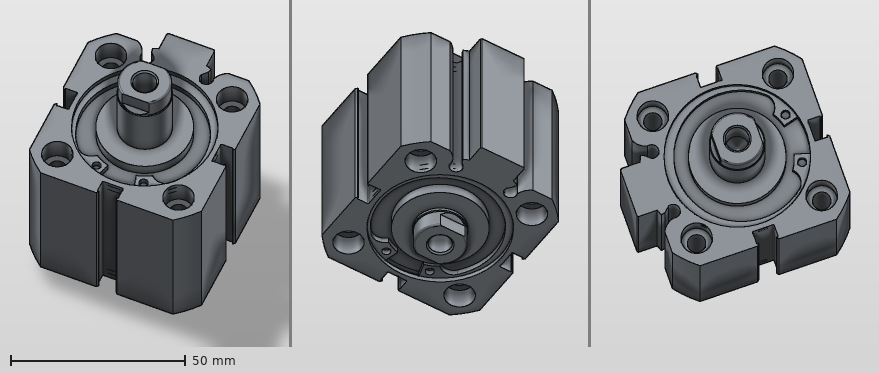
import cadquery as cq
import math


body_width = 54.0
body_height = 46.0
corner_circle_radius = 34.05
half_width = body_width / 2
corner_flat = math.sqrt(corner_circle_radius**2 - half_width**2)

port_top = 33.0
port_half_width = 7.5
port_chamfer = 0.4
port_tooth_tip = (9.2, 26.25)
port_tooth_root = (8.9, 25.1)
channel_x = 9.3
channel_y = 22.7
channel_radius = 2.0
channel_mouth_angle = 20.0
shoulder_start = (14.25, half_width)
shoulder_middle = (12.4, 25.6)

slot_width = 6.5
slot_opening = 5.5
slot_depth = 4.5
slot_lip = 0.75
slot_lip_chamfer = 0.5
slot_fillet = 0.3
slot_angles = (0, 180, 270)

mount_pitch = 38.0
mount_hole_diameter = 5.25
mount_bore_diameter = 9.0
mount_bore_depth = 7.0

bore_radius = 21.0
ring_depth = 1.6
ring_thickness = 1.9
ring_radius = 22.3
ring_floor_depth = ring_depth + ring_thickness

ring_inner_radius = 19.35
ring_inner_offset = 1.2
lug_inner_radius = 16.35
lug_gap_angle = 15.7
lug_peak_angle = 32.4
lug_hole_angle = 23.3
lug_hole_radius = 18.7
lug_hole_diameter = 2.55
dip_radius = 3.75
dip_angle = 49.3
ring_turn = -0.5

cover_boss_radius = 14.0
cover_length = body_height / 2

rod_length = 75.0
rod_bottom = -7.0
rod_diameter = 16.0
neck_diameter = 15.45
rod_radius = rod_diameter / 2
neck_radius = neck_diameter / 2
neck_length = 6.0
neck_flat = 13.0
neck_flat_length = 4.5
shoulder_chamfer = rod_radius - neck_radius
rod_end_fillet = 0.45
thread_radius = 3.45
thread_depth = 12.0
thread_chamfer = 0.5
drill_tip_angle = 118.0


def from_minus_y(radius, angle, side, offset=0.0):
    """Point at an angle from -Y; side is +1 toward +X and -1 toward -X."""
    turn = math.radians(angle)
    return (side * radius * math.sin(turn), -radius * math.cos(turn) - offset)


def at_far_end(body):
    """Copy of a top-end body, mirrored to the bottom end of the housing."""
    return body.mirror("XY", (0, 0, body_height / 2))


def housing_blank():
    corner_middle = corner_circle_radius / math.sqrt(2)
    mouth = math.radians(channel_mouth_angle)
    mouth_dx = channel_radius * math.cos(mouth)
    mouth_y = channel_y + channel_radius * math.sin(mouth)
    half_outline = (
        cq.Workplane("XY")
        .moveTo(0, -half_width)
        .lineTo(corner_flat, -half_width)
        .threePointArc((corner_middle, -corner_middle), (half_width, -corner_flat))
        .lineTo(half_width, corner_flat)
        .threePointArc((corner_middle, corner_middle), (corner_flat, half_width))
        .lineTo(*shoulder_start)
        .threePointArc(shoulder_middle, (channel_x + mouth_dx, mouth_y))
        .threePointArc((channel_x, channel_y - channel_radius), (channel_x - mouth_dx, mouth_y))
        .lineTo(*port_tooth_root)
        .lineTo(*port_tooth_tip)
        .lineTo(port_half_width, half_width)
        .lineTo(port_half_width, port_top - port_chamfer)
        .lineTo(port_half_width - port_chamfer, port_top)
        .lineTo(0, port_top)
    )
    return half_outline.mirrorY().extrude(body_height)


def sensor_slot():
    """Undercut slot in the +X side, running the full height."""
    floor = half_width - slot_depth
    lip = half_width - slot_lip
    groove = (
        cq.Workplane("XY")
        .center((floor + lip) / 2, 0)
        .rect(lip - floor, slot_width)
        .extrude(body_height)
        .edges("|Z and <X")
        .fillet(slot_fillet)
    )
    opening = cq.Workplane("XY").center(half_width - slot_depth / 2, 0)
    opening = opening.rect(slot_depth, slot_opening).extrude(body_height)
    half_opening = slot_opening / 2
    flare = (
        cq.Workplane("XY")
        .moveTo(half_width - slot_lip_chamfer, half_opening)
        .lineTo(half_width, half_opening + slot_lip_chamfer)
        .lineTo(half_width, -half_opening - slot_lip_chamfer)
        .lineTo(half_width - slot_lip_chamfer, -half_opening)
        .close()
        .extrude(body_height)
    )
    return groove.union(opening).union(flare)


def make_housing():
    housing = housing_blank()
    for angle in slot_angles:
        housing = housing.cut(sensor_slot().rotate((0, 0, 0), (0, 0, 1), angle))

    mounts = cq.Workplane("XY").rect(mount_pitch, mount_pitch, forConstruction=True).vertices()
    housing = housing.cut(mounts.circle(mount_hole_diameter / 2).extrude(body_height))
    counterbores = mounts.circle(mount_bore_diameter / 2).extrude(mount_bore_depth)
    housing = housing.cut(counterbores).cut(at_far_end(counterbores))

    housing = housing.cut(cq.Workplane("XY").circle(bore_radius).extrude(body_height))
    groove = cq.Workplane("XY", origin=(0, 0, body_height - ring_floor_depth))
    groove = groove.circle(ring_radius).extrude(ring_thickness)
    return housing.cut(groove).cut(at_far_end(groove))


def make_cover():
    """Top cover: a plug under the ring, with a central boss flush with the housing."""
    plug_length = cover_length - ring_floor_depth
    return (
        cq.Workplane("XY", origin=(0, 0, body_height - cover_length))
        .circle(bore_radius)
        .extrude(plug_length)
        .faces(">Z")
        .workplane()
        .circle(cover_boss_radius)
        .extrude(ring_floor_depth)
        .cut(cq.Workplane("XY").circle(rod_radius).extrude(body_height))
    )


def make_ring():
    """Top retaining ring, with its gap and lugs toward -Y."""
    lug_middle_angle = (lug_gap_angle + lug_peak_angle) / 2

    def lug_point(angle, side):
        return from_minus_y(lug_inner_radius, angle, side)

    def dip_start(side):
        return from_minus_y(ring_inner_radius, dip_angle, side, ring_inner_offset)

    def dip_bottom(side):
        center_radius = ring_inner_radius - dip_radius
        x, y = from_minus_y(center_radius, dip_angle, side, ring_inner_offset)
        return (x, y - dip_radius)

    ring = (
        cq.Workplane("XY", origin=(0, 0, body_height - ring_floor_depth))
        .moveTo(*from_minus_y(ring_radius, lug_gap_angle, -1))
        .lineTo(*lug_point(lug_gap_angle, -1))
        .threePointArc(lug_point(lug_middle_angle, -1), lug_point(lug_peak_angle, -1))
        .threePointArc(dip_bottom(-1), dip_start(-1))
        .threePointArc((0, ring_inner_radius - ring_inner_offset), dip_start(1))
        .threePointArc(dip_bottom(1), lug_point(lug_peak_angle, 1))
        .threePointArc(lug_point(lug_middle_angle, 1), lug_point(lug_gap_angle, 1))
        .lineTo(*from_minus_y(ring_radius, lug_gap_angle, 1))
        .threePointArc((0, ring_radius), from_minus_y(ring_radius, lug_gap_angle, -1))
        .close()
        .extrude(ring_thickness)
    )
    lug_holes = [from_minus_y(lug_hole_radius, lug_hole_angle, side) for side in (-1, 1)]
    ring = ring.faces(">Z").workplane(origin=(0, 0, 0)).pushPoints(lug_holes).hole(lug_hole_diameter)
    return ring.rotate((0, 0, 0), (0, 0, 1), ring_turn)


def flat_cutter(rod_top):
    """Material removed on the +Y side of the top neck: a flat with a 45 degree run-out."""
    flat_y = neck_flat / 2
    runout = rod_radius - flat_y
    flat_bottom = rod_top - neck_flat_length
    return (
        cq.Workplane("YZ")
        .moveTo(flat_y, rod_top)
        .lineTo(flat_y, flat_bottom)
        .lineTo(flat_y + runout, flat_bottom - runout)
        .lineTo(flat_y + runout, rod_top)
        .close()
        .extrude(rod_radius, both=True)
    )


def thread_hole(rod_top):
    """Drilled hole in the top end, with a chamfered mouth and a conical bottom."""
    cone_height = thread_radius / math.tan(math.radians(drill_tip_angle / 2))
    return (
        cq.Workplane("XZ")
        .moveTo(0, rod_top)
        .lineTo(thread_radius + thread_chamfer, rod_top)
        .lineTo(thread_radius, rod_top - thread_chamfer)
        .lineTo(thread_radius, rod_top - thread_depth)
        .lineTo(0, rod_top - thread_depth - cone_height)
        .close()
        .revolve(360, (0, 0, 0), (0, 1, 0))
    )


def make_rod():
    """Rod with the same necked, flatted and threaded end at top and bottom."""
    middle = rod_bottom + rod_length / 2
    top = rod_bottom + rod_length
    neck_bottom = top - neck_length
    upper_half = (
        cq.Workplane("XZ")
        .moveTo(0, middle)
        .lineTo(rod_radius, middle)
        .lineTo(rod_radius, neck_bottom)
        .lineTo(neck_radius, neck_bottom + shoulder_chamfer)
        .lineTo(neck_radius, top - rod_end_fillet)
        .tangentArcPoint((neck_radius - rod_end_fillet, top), relative=False)
        .lineTo(0, top)
        .close()
        .revolve(360, (0, 0, 0), (0, 1, 0))
    )
    cutter = flat_cutter(top)
    upper_half = upper_half.cut(cutter).cut(cutter.mirror("XZ")).cut(thread_hole(top))
    return upper_half.union(upper_half.mirror("XY", (0, 0, middle)))


housing = make_housing()
rod = make_rod()
top_cover = make_cover()
top_ring = make_ring()
covers = [top_cover, at_far_end(top_cover)]
rings = [top_ring, at_far_end(top_ring)]

result = cq.Compound.makeCompound([body.val() for body in [housing, rod, *covers, *rings]])